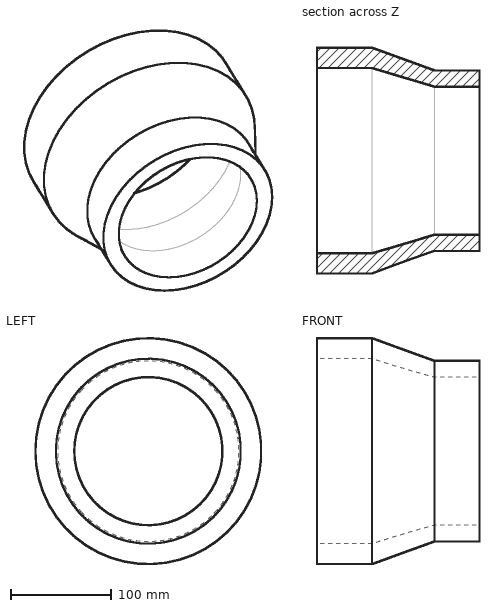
import cadquery as cq

length = 162.0
large_end_length = 55.1
small_end_length = 45.0
large_outer_diameter = 225.0
large_bore_diameter = 184.0
small_outer_diameter = 180.0
small_bore_diameter = 147.2

taper_start = large_end_length
taper_end = length - small_end_length


def reducer_body(large_diameter, small_diameter):
    """Solid of revolution: large cylinder, cone, small cylinder."""
    large_radius = large_diameter / 2
    small_radius = small_diameter / 2
    profile = [
        (0, 0),
        (0, large_radius),
        (taper_start, large_radius),
        (taper_end, small_radius),
        (length, small_radius),
        (length, 0),
    ]
    return cq.Workplane("XY").polyline(profile).close().revolve(360, (0, 0, 0), (1, 0, 0))


outer_body = reducer_body(large_outer_diameter, small_outer_diameter)
bore = reducer_body(large_bore_diameter, small_bore_diameter)
result = outer_body.cut(bore)